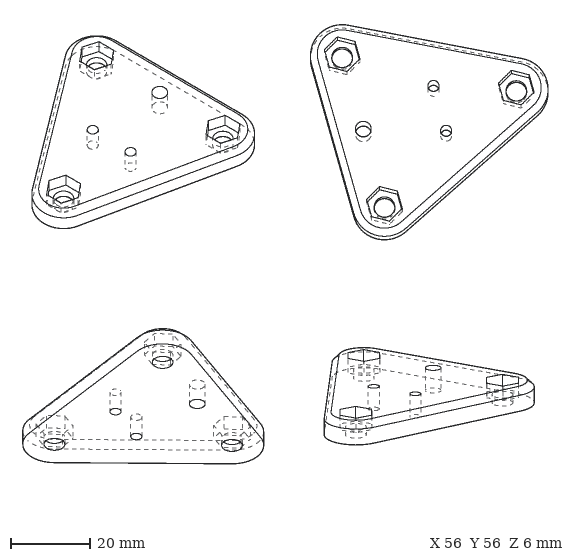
import cadquery as cq
import math

overall_size = 56.0
thickness = 6.0
corner_radius = 8.0
corner_offset = overall_size / 2 - corner_radius
corner_points = [
    (-corner_offset, corner_offset),
    (corner_offset, corner_offset),
    (0, -corner_offset),
]

bevel = 1.75

bolt_diameter = 5.2
nut_across_flats = 8.0
nut_across_corners = nut_across_flats / math.cos(math.pi / 6)
nut_depth = 3.85

edge_hole_diameter = 4.0
small_hole_diameter = 2.8
small_hole_offset = 6.0


def make_plate():
    """Rounded triangle, symmetric about the YZ plane, with a beveled top edge."""
    side_length = math.hypot(corner_offset, 2 * corner_offset)
    normal_x = 2 * corner_offset / side_length * corner_radius
    normal_y = -corner_offset / side_length * corner_radius
    half_size = overall_size / 2

    arc_angle = (math.pi / 2 + math.atan2(normal_y, normal_x)) / 2
    arc_x = corner_offset + corner_radius * math.cos(arc_angle)
    arc_y = corner_offset + corner_radius * math.sin(arc_angle)

    return (
        cq.Workplane("XY")
        .moveTo(-corner_offset, half_size)
        .lineTo(corner_offset, half_size)
        .threePointArc((arc_x, arc_y), (corner_offset + normal_x, corner_offset + normal_y))
        .lineTo(normal_x, -corner_offset + normal_y)
        .threePointArc((0, -half_size), (-normal_x, -corner_offset + normal_y))
        .lineTo(-corner_offset - normal_x, corner_offset + normal_y)
        .threePointArc((-arc_x, arc_y), (-corner_offset, half_size))
        .close()
        .extrude(thickness)
        .faces(">Z")
        .chamfer(bevel)
    )


def make_holes(points, diameter):
    """Cylinders through the full thickness."""
    return cq.Workplane("XY").pushPoints(points).circle(diameter / 2).extrude(thickness)


def make_nut_pockets():
    """Hexagons sunk from the top face, with two corners along X."""
    return (
        cq.Workplane("XY", origin=(0, 0, thickness - nut_depth))
        .pushPoints(corner_points)
        .polygon(6, nut_across_corners)
        .extrude(nut_depth)
    )


result = (
    make_plate()
    .cut(make_holes(corner_points, bolt_diameter))
    .cut(make_nut_pockets())
    .cut(make_holes([(0, corner_offset)], edge_hole_diameter))
    .cut(make_holes([(-small_hole_offset, 0), (small_hole_offset, 0)], small_hole_diameter))
)